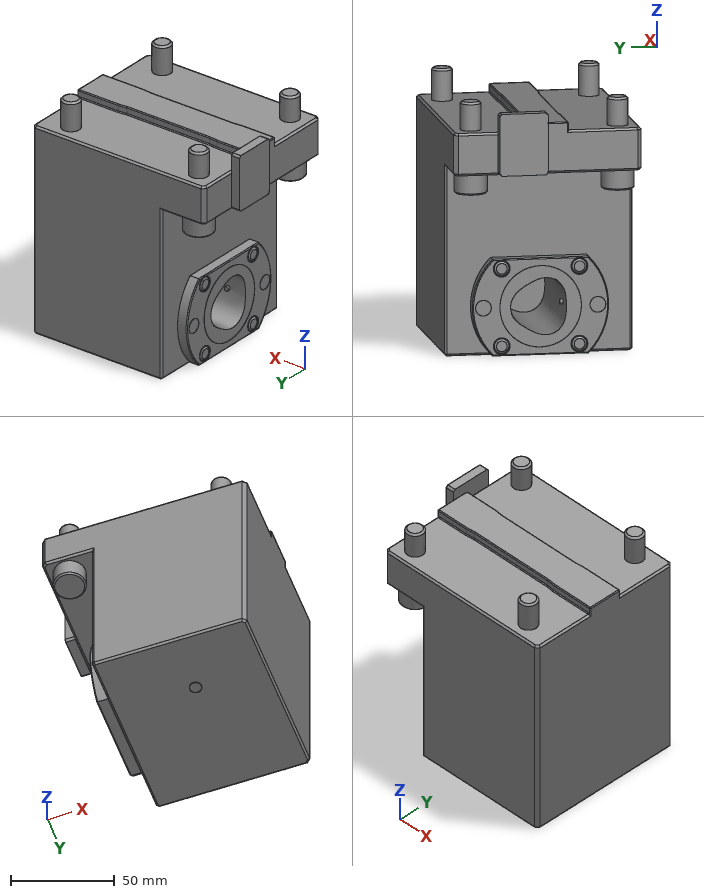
import cadquery as cq
import math

BLOCK_WIDTH = 92.0
BODY_LENGTH = 79.0
HEAD_OVERHANG = 26.0
BLOCK_HEIGHT = 114.0
HEAD_BOTTOM = 93.1
EDGE_CHAMFER = 1.0
CORNER_CHAMFER = 2.0
HEAD_FRONT = -HEAD_OVERHANG
HEAD_LENGTH = HEAD_OVERHANG + BODY_LENGTH

RAIL_TOP = 118.1
RAIL_END_HALF_WIDTH = 10.0
RAIL_WAIST_HALF_WIDTH = 9.5
RAIL_FRONT_END_LENGTH = 19.8
RAIL_REAR_END_LENGTH = 25.0
RAIL_TAPER_LENGTH = 4.8
RAIL_CHAMFER = 0.5

PLATE_THICKNESS = 5.0
PLATE_WIDTH = 23.7
PLATE_OFFSET_Y = 12.7
PLATE_BOTTOM = 93.4
PLATE_TOP = 123.8
PLATE_CHAMFER = 1.0

BOLT_DIAMETER = 10.0
BOLT_HEAD_DIAMETER = 16.0
BOLT_HEAD_BOTTOM = 83.0
BOLT_SPACING_Y = 72.0
BOLT_SPACING_X = 77.9
FRONT_BOLT_X = HEAD_FRONT + 11.0
REAR_BOLT_X = FRONT_BOLT_X + BOLT_SPACING_X
FRONT_BOLT_TOP = 128.0
REAR_BOLT_TOP = 130.0
BOLT_CHAMFER = 1.0
BOLT_HEAD_CHAMFER = 0.8

FLANGE_RADIUS = 33.4
FLANGE_HEIGHT = 47.5
FLANGE_THICKNESS = 5.7
FLANGE_CHAMFER = 0.5
FLANGE_CENTER_Z = 24.1

RAISED_HEIGHT = 0.1
BEARING_FACE_DIAMETER = 39.9
DOWEL_DIAMETER = 7.7
DOWEL_SPACING = 56.1

SCREW_SPACING = 38.1
SEAT_DIAMETER = 8.1
SEAT_DEPTH = 0.5
SCREW_BASE_DIAMETER = 7.2
SCREW_TIP_DIAMETER = 5.2
SCREW_HEIGHT = 0.7

BORE_MEAN_RADIUS = 13.7
BORE_LOBE_HEIGHT = 1.0
BORE_DEPTH = 58.7
BORE_POINTS = 24
PIN_DIAMETER = 2.5
PIN_TIP = 11.2
PIN_LENGTH = 5.2
PIN_DEPTH = 10.5

PLUG_DIAMETER = 6.0
PLUG_HEIGHT = 0.5
PLUG_X = 42.3
PLUG_Y = -15.8


def make_block():
    head = (
        cq.Workplane("XY")
        .box(HEAD_LENGTH, BLOCK_WIDTH, BLOCK_HEIGHT - HEAD_BOTTOM, centered=(False, True, False))
        .translate((HEAD_FRONT, 0, HEAD_BOTTOM))
        .edges("|Z")
        .chamfer(CORNER_CHAMFER)
        .faces(">Z or <Z")
        .chamfer(EDGE_CHAMFER)
    )
    body = (
        cq.Workplane("XY")
        .box(BODY_LENGTH, BLOCK_WIDTH, BLOCK_HEIGHT - EDGE_CHAMFER, centered=(False, True, False))
        .edges("|Z and >X")
        .chamfer(CORNER_CHAMFER)
        .edges("|Z and <X")
        .chamfer(EDGE_CHAMFER)
        .faces("<Z")
        .chamfer(EDGE_CHAMFER)
    )
    return head.union(body)


def rail_outline(inset, widening):
    """Waisted outline, shortened by inset at both ends and widened on both sides."""
    front = HEAD_FRONT + inset
    rear = BODY_LENGTH - inset
    front_taper = HEAD_FRONT + RAIL_FRONT_END_LENGTH
    rear_taper = BODY_LENGTH - RAIL_REAR_END_LENGTH
    end_y = RAIL_END_HALF_WIDTH + widening
    waist_y = RAIL_WAIST_HALF_WIDTH + widening
    side = [
        (front, end_y - RAIL_CHAMFER),
        (front + RAIL_CHAMFER, end_y),
        (front_taper, end_y),
        (front_taper + RAIL_TAPER_LENGTH, waist_y),
        (rear_taper - RAIL_TAPER_LENGTH, waist_y),
        (rear_taper, end_y),
        (rear - RAIL_CHAMFER, end_y),
        (rear, end_y - RAIL_CHAMFER),
    ]
    return side + [(x, -y) for x, y in reversed(side)]


def make_rail():
    def prism(outline, top):
        base = BLOCK_HEIGHT - EDGE_CHAMFER
        solid = cq.Workplane("XY", origin=(0, 0, base)).polyline(outline).close().extrude(top - base)
        return solid.faces(">Z").chamfer(RAIL_CHAMFER)

    rail = prism(rail_outline(0, 0), RAIL_TOP)
    sloped_foot = prism(rail_outline(EDGE_CHAMFER, RAIL_CHAMFER), BLOCK_HEIGHT + RAIL_CHAMFER)
    return rail.union(sloped_foot)


def make_plate():
    return (
        cq.Workplane("XY")
        .box(PLATE_THICKNESS, PLATE_WIDTH, PLATE_TOP - PLATE_BOTTOM, centered=(False, True, False))
        .edges("|X")
        .chamfer(PLATE_CHAMFER)
        .translate((HEAD_FRONT - PLATE_THICKNESS, PLATE_OFFSET_Y, PLATE_BOTTOM))
    )


def make_shank(x, y, top):
    return (
        cq.Workplane("XY", origin=(x, y, HEAD_BOTTOM))
        .circle(BOLT_DIAMETER / 2)
        .extrude(top - HEAD_BOTTOM)
        .faces(">Z")
        .chamfer(BOLT_CHAMFER)
    )


def make_bolt_head(y):
    return (
        cq.Workplane("XY", origin=(FRONT_BOLT_X, y, BOLT_HEAD_BOTTOM))
        .circle(BOLT_HEAD_DIAMETER / 2)
        .extrude(HEAD_BOTTOM - BOLT_HEAD_BOTTOM)
        .faces("<Z")
        .chamfer(BOLT_HEAD_CHAMFER)
    )


def flange_plane(depth=0.0):
    """Plane facing -X on the flange axis, at a depth below the flange face."""
    return cq.Workplane(
        cq.Plane(
            origin=(depth - FLANGE_THICKNESS, 0, FLANGE_CENTER_Z),
            xDir=(0, -1, 0),
            normal=(-1, 0, 0),
        )
    )


def make_flange():
    disc = flange_plane().circle(FLANGE_RADIUS).extrude(-FLANGE_THICKNESS)
    strip = flange_plane().rect(2 * FLANGE_RADIUS, FLANGE_HEIGHT).extrude(-FLANGE_THICKNESS)
    return disc.intersect(strip).faces("<X").chamfer(FLANGE_CHAMFER)


def make_raised_faces():
    bearing_face = flange_plane().circle(BEARING_FACE_DIAMETER / 2).extrude(RAISED_HEIGHT)
    dowels = (
        flange_plane()
        .pushPoints([(-DOWEL_SPACING / 2, 0), (DOWEL_SPACING / 2, 0)])
        .circle(DOWEL_DIAMETER / 2)
        .extrude(RAISED_HEIGHT)
    )
    return bearing_face.union(dowels)


def at_screws(depth):
    return (
        flange_plane(depth)
        .rect(SCREW_SPACING, SCREW_SPACING, forConstruction=True)
        .vertices()
    )


def make_screw_seats():
    return at_screws(SEAT_DEPTH).circle(SEAT_DIAMETER / 2).extrude(SEAT_DEPTH)


def make_screws():
    cone_angle = math.degrees(math.atan2((SCREW_BASE_DIAMETER - SCREW_TIP_DIAMETER) / 2, SCREW_HEIGHT))
    return at_screws(SEAT_DEPTH).circle(SCREW_BASE_DIAMETER / 2).extrude(SCREW_HEIGHT, taper=cone_angle)


def make_bore():
    def radius(angle):
        return BORE_MEAN_RADIUS - BORE_LOBE_HEIGHT * math.cos(3 * angle)

    angles = [2 * math.pi * i / BORE_POINTS for i in range(BORE_POINTS)]
    outline = [(radius(a) * math.cos(a), radius(a) * math.sin(a)) for a in angles]
    total_depth = BORE_DEPTH + RAISED_HEIGHT
    return flange_plane(BORE_DEPTH).spline(outline, periodic=True).close().extrude(total_depth)


def make_pin():
    return (
        cq.Workplane("XZ", origin=(PIN_DEPTH - FLANGE_THICKNESS, -PIN_TIP, FLANGE_CENTER_Z))
        .circle(PIN_DIAMETER / 2)
        .extrude(PIN_LENGTH)
    )


def make_plug():
    return (
        cq.Workplane("XY", origin=(PLUG_X, PLUG_Y, -PLUG_HEIGHT))
        .circle(PLUG_DIAMETER / 2)
        .extrude(2 * PLUG_HEIGHT)
    )


result = make_block().union(make_rail()).union(make_plate()).union(make_flange())
for bolt_y in (-BOLT_SPACING_Y / 2, BOLT_SPACING_Y / 2):
    result = result.union(make_shank(FRONT_BOLT_X, bolt_y, FRONT_BOLT_TOP))
    result = result.union(make_shank(REAR_BOLT_X, bolt_y, REAR_BOLT_TOP))
    result = result.union(make_bolt_head(bolt_y))

result = result.union(make_raised_faces()).cut(make_screw_seats()).union(make_screws())
result = result.cut(make_bore()).union(make_pin()).union(make_plug())